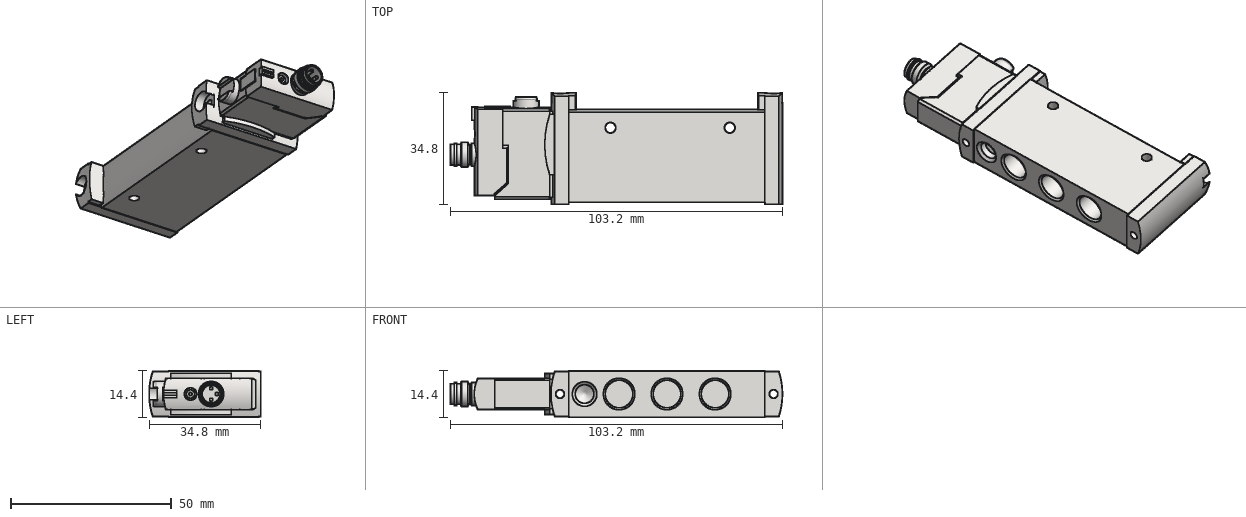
import cadquery as cq
import math


block_start = 36.8
block_end = 97.7
block_bottom = 0.6
block_side_height = 28.7
block_top = 29.6
block_half_depth = 7.2

mount_hole_diameter = 3.2
mount_hole_x = (49.7, 86.8)
mount_hole_y = 23.8

port_diameter = 8.6
port_mouth_diameter = 9.8
port_depth = 10.3
port_x = (52.4, 67.3, 82.3)

pilot_diameter = 5.8
pilot_mouth_diameter = 7.6
pilot_depth = 3.1
pilot_x = 41.7
drill_point_angle = 118.0

plate_front = 31.3
plate_rear = 103.2
plate_bulge = 1.1
plate_half_depth = 7.0
plate_root_x = plate_front + plate_bulge
plate_side_height = 33.6
plate_height = 34.8
plate_tab_length = 2.3
plate_tab_bulge = 0.3
plate_tab_half_depth = 6.6
plate_tab_bottom = 29.4
plate_hole_diameter = 2.6
plate_hole_inset = 2.8
plate_counterbore_diameter = 6.5
plate_counterbore_floor = 31.6

coil_start = 13.7
coil_bottom = 1.5
coil_half_depth = 4.9
coil_edge_chamfer = 0.6
coil_bottom_chamfer = 0.9
coil_neck_start = 30.9
coil_neck_inset = 0.6
top_side_height = 29.6
top_crown_height = 30.2

cover_bottom = 9.2
cover_top = 28.0
cover_half_depth = 6.4
cover_bulge = 1.5

button_x = 23.5
button_diameter = 8.0
button_tip_diameter = 7.6
button_top = 33.4
button_tip_length = 0.7
button_slot_width = 4.2
button_slot_floor = 32.2

plug_front = 7.4
plug_bulge = 1.0
plug_bottom = 2.8
seam_upper_x = 16.3
seam_lower_x = 18.0
seam_step_top = 18.5
seam_step_bottom = 17.5
seam_slope_top = 6.6
seam_gap = 0.4
seam_foot_top = 3.3
seam_notch_depth = 1.0

connector_y = 15.5
connector_base_diameter = 7.2
connector_neck_diameter = 5.8
connector_collar_diameter = 7.8
connector_tip_diameter = 6.5
connector_bore_diameter = 5.6
connector_bore_depth = 5.2
connector_ring_diameter = 7.2
connector_ring_start = 1.2
connector_ring_end = 2.0
collar_start = 3.2
collar_end = 5.4
collar_chamfer = 0.3
neck_start = 6.0
neck_end = 6.3
base_start = 6.6
pin_diameter = 1.0
pin_circle_radius = 1.8
pin_start = 1.0
pin_angles = (90, 180, 270)

lamp_y = 21.9
lamp_diameter = 3.8
lamp_depth = 2.1
lamp_lens_diameter = 2.6
lamp_lens_height = 1.2
lamp_bore_diameter = 1.0

clip_front = 6.6
clip_bottom = 26.1
clip_top = 30.3
clip_width = 2.5
clip_groove_width = 0.7
clip_groove_depth = 0.2
latch_start = 10.6
latch_end = 18.6
latch_width = 4.2
latch_top = 30.5


def box(x_range, y_range, half_depth):
    """Box spanning two ranges, centred on the mid-plane."""
    return (
        cq.Workplane("XY", origin=(0, 0, -half_depth))
        .moveTo(x_range[0], y_range[0])
        .lineTo(x_range[1], y_range[0])
        .lineTo(x_range[1], y_range[1])
        .lineTo(x_range[0], y_range[1])
        .close()
        .extrude(2 * half_depth)
    )


def crowned_bar(x_range, bottom, side_height, crown_height, half_depth):
    """Bar along X whose top is an arc, highest on the mid-plane."""
    return (
        cq.Workplane("YZ", origin=(x_range[0], 0, 0))
        .moveTo(bottom, -half_depth)
        .lineTo(side_height, -half_depth)
        .threePointArc((crown_height, 0), (side_height, half_depth))
        .lineTo(bottom, half_depth)
        .close()
        .extrude(x_range[1] - x_range[0])
    )


def bulged_slab(bulged_x, bulge, flat_x, y_range, half_depth):
    """Slab along Y with one flat X face and one arc-shaped X face."""
    side_x = bulged_x + math.copysign(bulge, flat_x - bulged_x)
    return (
        cq.Workplane("ZX", origin=(0, y_range[0], 0))
        .moveTo(-half_depth, flat_x)
        .lineTo(-half_depth, side_x)
        .threePointArc((0, bulged_x), (half_depth, side_x))
        .lineTo(half_depth, flat_x)
        .close()
        .extrude(y_range[1] - y_range[0])
    )


def rod_along_y(x, diameter, y_range):
    return (
        cq.Workplane("ZX", origin=(x, y_range[0], 0))
        .circle(diameter / 2)
        .extrude(y_range[1] - y_range[0])
    )


def rod_along_x(y, z, diameter, x_range):
    return (
        cq.Workplane("YZ", origin=(x_range[0], y, z))
        .circle(diameter / 2)
        .extrude(x_range[1] - x_range[0])
    )


def turned_along_y(x, profile):
    """Solid of revolution about a Y axis; profile runs from axis to axis as (radius, y)."""
    return (
        cq.Workplane("XY", origin=(x, 0, 0))
        .polyline(profile)
        .close()
        .revolve(360, (0, 0), (0, 1))
    )


def make_block():
    block = crowned_bar(
        (block_start, block_end), block_bottom, block_side_height, block_top, block_half_depth
    )
    for x in mount_hole_x:
        hole = (
            cq.Workplane("XY", origin=(x, mount_hole_y, -block_half_depth))
            .circle(mount_hole_diameter / 2)
            .extrude(2 * block_half_depth)
        )
        block = block.cut(hole)

    port_radius = port_diameter / 2
    mouth_radius = port_mouth_diameter / 2
    for x in port_x:
        port = turned_along_y(x, [
            (0, block_bottom),
            (mouth_radius, block_bottom),
            (port_radius, block_bottom + mouth_radius - port_radius),
            (port_radius, block_bottom + port_depth),
            (0, block_bottom + port_depth),
        ])
        block = block.cut(port)

    pilot_radius = pilot_diameter / 2
    pilot_mouth_radius = pilot_mouth_diameter / 2
    point_length = pilot_radius / math.tan(math.radians(drill_point_angle / 2))
    pilot = turned_along_y(pilot_x, [
        (0, block_bottom),
        (pilot_mouth_radius, block_bottom),
        (pilot_radius, block_bottom + pilot_mouth_radius - pilot_radius),
        (pilot_radius, block_bottom + pilot_depth),
        (0, block_bottom + pilot_depth + point_length),
    ])
    return block.cut(pilot)


def make_end_plate(outer_x, inner_x):
    """End plate bulging outwards, with a short tab over the block."""
    inward = math.copysign(1, inner_x - outer_x)
    tab_x = inner_x + inward * plate_tab_length
    plate = bulged_slab(outer_x, plate_bulge, inner_x, (0, plate_height), plate_half_depth)
    tab_heights = (plate_tab_bottom, plate_height)
    tab = bulged_slab(tab_x, plate_tab_bulge, inner_x, tab_heights, plate_tab_half_depth)
    crown = crowned_bar(
        (min(outer_x, tab_x), max(outer_x, tab_x)),
        0, plate_side_height, plate_height, plate_half_depth,
    )
    hole_x = outer_x + inward * plate_hole_inset
    hole = rod_along_y(hole_x, plate_hole_diameter, (0, plate_height))
    counterbore = rod_along_y(
        hole_x, plate_counterbore_diameter, (plate_counterbore_floor, plate_height)
    )
    return plate.union(tab).intersect(crown).cut(hole).cut(counterbore)


def space_ahead_of_seam(foot, slope_top, step_y):
    """Everything in front of a stepped seam; foot and slope_top are (x, y) corners."""
    return (
        cq.Workplane("XY", origin=(0, 0, -coil_half_depth))
        .moveTo(0, 0)
        .lineTo(foot[0], 0)
        .lineTo(*foot)
        .lineTo(*slope_top)
        .lineTo(slope_top[0], step_y)
        .lineTo(seam_upper_x, step_y)
        .lineTo(seam_upper_x, plate_height)
        .lineTo(0, plate_height)
        .close()
        .extrude(2 * coil_half_depth)
    )


def make_coil():
    body = crowned_bar(
        (coil_start, coil_neck_start), coil_bottom, top_side_height, top_crown_height, coil_half_depth
    )
    body = body.faces("<Y").edges("|X").chamfer(coil_bottom_chamfer, coil_edge_chamfer)
    body = body.edges("|X").edges(">Y").chamfer(coil_edge_chamfer)
    body = body.cut(
        space_ahead_of_seam((coil_start, plug_bottom), (seam_lower_x, seam_slope_top), seam_step_top)
    )
    neck = box(
        (coil_neck_start, plate_root_x),
        (coil_bottom + coil_neck_inset, top_side_height - coil_neck_inset),
        coil_half_depth - coil_neck_inset / 2,
    )
    seam_web = box(
        (seam_upper_x, seam_lower_x),
        (seam_step_bottom, seam_step_top),
        coil_half_depth - seam_notch_depth,
    )
    return body.union(neck).union(seam_web)


def make_covers():
    """Arched tabs reaching from the front end plate over both coil sides."""
    middle_y = (cover_bottom + cover_top) / 2
    return (
        cq.Workplane("XY", origin=(0, 0, -cover_half_depth))
        .moveTo(plate_root_x, cover_bottom)
        .lineTo(coil_neck_start, cover_bottom)
        .threePointArc((coil_neck_start - cover_bulge, middle_y), (coil_neck_start, cover_top))
        .lineTo(plate_root_x, cover_top)
        .close()
        .extrude(2 * cover_half_depth)
    )


def make_button():
    radius = button_diameter / 2
    tip_radius = button_tip_diameter / 2
    button_root = top_side_height - coil_neck_inset
    button = turned_along_y(button_x, [
        (0, button_root),
        (radius, button_root),
        (radius, button_top - button_tip_length),
        (tip_radius, button_top),
        (0, button_top),
    ])
    slot = box(
        (button_x - radius, button_x + radius),
        (button_slot_floor, button_top),
        button_slot_width / 2,
    )
    return button.cut(slot)


def make_valve():
    return (
        make_block()
        .union(make_end_plate(plate_front, block_start))
        .union(make_end_plate(plate_rear, block_end))
        .union(make_coil())
        .union(make_covers())
        .union(make_button())
    )


def make_plug_body():
    body = crowned_bar(
        (plug_front, seam_lower_x), plug_bottom, top_side_height, top_crown_height, coil_half_depth
    )
    rounded_front = bulged_slab(
        plug_front, plug_bulge, seam_lower_x, (0, plate_height), coil_half_depth
    )
    seam_side = space_ahead_of_seam(
        (coil_start, seam_foot_top),
        (seam_lower_x - seam_gap, seam_slope_top),
        seam_step_bottom,
    )
    return body.intersect(rounded_front).intersect(seam_side)


def make_connector():
    """Hollow stepped connector tube with its contact pins."""
    collar_radius = connector_collar_diameter / 2
    tip_radius = connector_tip_diameter / 2
    ring_radius = connector_ring_diameter / 2
    neck_radius = connector_neck_diameter / 2
    base_radius = connector_base_diameter / 2
    root_x = plug_front + plug_bulge
    tube = (
        cq.Workplane("XY", origin=(0, connector_y, 0))
        .polyline([
            (0, 0),
            (0, tip_radius),
            (connector_ring_start, tip_radius),
            (connector_ring_start, ring_radius),
            (connector_ring_end, ring_radius),
            (connector_ring_end, tip_radius),
            (collar_start, tip_radius),
            (collar_start, collar_radius - collar_chamfer),
            (collar_start + collar_chamfer, collar_radius),
            (collar_end, collar_radius),
            (neck_start, neck_radius),
            (neck_end, neck_radius),
            (base_start, base_radius),
            (root_x, base_radius),
            (root_x, 0),
        ])
        .close()
        .revolve(360, (0, 0), (1, 0))
    )
    connector = tube.cut(
        rod_along_x(connector_y, 0, connector_bore_diameter, (0, connector_bore_depth))
    )
    for angle in pin_angles:
        pin_y = connector_y + pin_circle_radius * math.cos(math.radians(angle))
        pin_z = pin_circle_radius * math.sin(math.radians(angle))
        pin = rod_along_x(pin_y, pin_z, pin_diameter, (pin_start, connector_bore_depth))
        connector = connector.union(pin)
    return connector


def make_clip():
    root_x = plug_front + plug_bulge
    clip = box((clip_front, root_x), (clip_bottom, clip_top), clip_width / 2)
    groove = box(
        (clip_front, clip_front + clip_groove_depth), (clip_bottom, clip_top), clip_groove_width / 2
    )
    return clip.cut(groove)


def make_latch():
    """Thin strip on top of the plug whose lip reaches over the coil."""
    base = box((latch_start, seam_upper_x), (top_side_height, latch_top), latch_width / 2)
    lip = box((latch_start, latch_end), (top_crown_height, latch_top), latch_width / 2)
    return base.union(lip)


def make_lamp_recess():
    """Round recess around a tapered lens that has a small centre bore."""
    floor_x = plug_front + lamp_depth
    recess = rod_along_x(lamp_y, 0, lamp_diameter, (plug_front, floor_x))
    lens = (
        cq.Workplane("YZ", origin=(floor_x - lamp_lens_height, lamp_y, 0))
        .circle(lamp_lens_diameter / 2)
        .workplane(offset=lamp_lens_height)
        .circle(lamp_diameter / 2)
        .loft()
    )
    bore = rod_along_x(lamp_y, 0, lamp_bore_diameter, (plug_front, floor_x))
    return recess.cut(lens).union(bore)


def make_plug():
    return (
        make_plug_body()
        .cut(make_lamp_recess())
        .union(make_connector())
        .union(make_clip())
        .union(make_latch())
    )


valve = make_valve()
plug = make_plug()

result = cq.Compound.makeCompound([valve.val(), plug.val()])